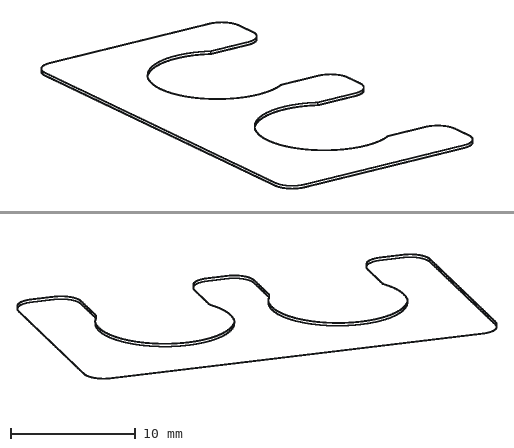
import cadquery as cq

length = 34.92
width = 19.05
thickness = 0.25
corner_radius = 1.68

opening_pitch = 14.7
opening_radius = 5.6
opening_height = 10.9
mouth_width = 9.65

opening_y = opening_height - width / 2
mouth_length = width - opening_height


def opening_cutter(x):
    """Keyhole-shaped cutter: a cylinder joined to a straight mouth."""
    bore = cq.Workplane("XY").center(x, opening_y).circle(opening_radius).extrude(thickness)
    mouth = (
        cq.Workplane("XY")
        .center(x, opening_y + mouth_length / 2)
        .rect(mouth_width, mouth_length)
        .extrude(thickness)
    )
    return bore.union(mouth)


plate = cq.Workplane("XY").rect(length, width).extrude(thickness)
for side in (-1, 1):
    plate = plate.cut(opening_cutter(side * opening_pitch / 2))

plate = plate.edges("|Z and (>Y or <Y)").fillet(corner_radius)

result = plate